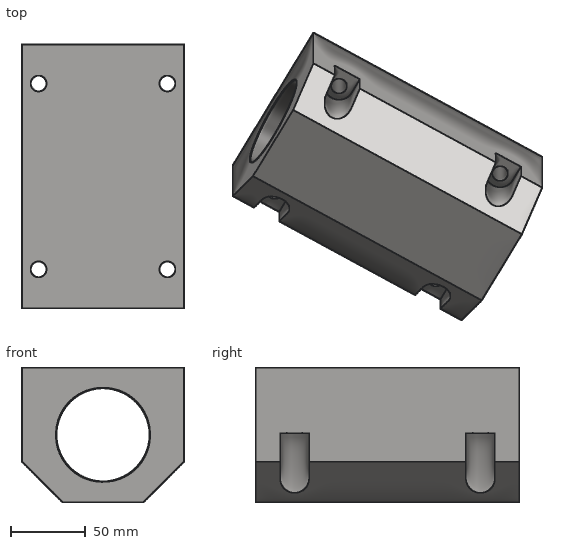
import cadquery as cq

width = 108.0
length = 176.0
height = 90.0
edge_cut = 27.1

bore_diameter = 62.0
bore_height = 45.0
bore_chamfer = 0.5

hole_diameter = 10.4
hole_spacing_x = 85.9
hole_spacing_y = 123.9
slot_width = 19.4
slot_roof = 46.1


def make_block():
    half = width / 2
    flat_half = half - edge_cut
    outline = [
        (-flat_half, 0),
        (flat_half, 0),
        (half, edge_cut),
        (half, height),
        (-half, height),
        (-half, edge_cut),
    ]
    return cq.Workplane("XZ").polyline(outline).close().extrude(length / 2, both=True)


def make_bore():
    bore_radius = bore_diameter / 2
    mouth_radius = bore_radius + bore_chamfer
    half = length / 2
    section = [
        (0, -half),
        (mouth_radius, -half),
        (bore_radius, -half + bore_chamfer),
        (bore_radius, half - bore_chamfer),
        (mouth_radius, half),
        (0, half),
    ]
    profile = cq.Workplane("XY").polyline(section).close()
    return profile.revolve(360, (0, 0, 0), (0, 1, 0)).translate((0, 0, bore_height))


def make_mounting_cut(side, y):
    """Through hole with a slot below it, round inside and open to the outside."""
    x = side * hole_spacing_x / 2
    hole = cq.Workplane("XY").center(x, y).circle(hole_diameter / 2).extrude(height)
    round_end = cq.Workplane("XY").center(x, y).circle(slot_width / 2).extrude(slot_roof)
    reach = width / 2
    opening = (
        cq.Workplane("XY")
        .center(x + side * reach / 2, y)
        .rect(reach, slot_width)
        .extrude(slot_roof)
    )
    return hole.union(round_end).union(opening)


result = make_block().cut(make_bore())
for side in (-1, 1):
    for y in (-hole_spacing_y / 2, hole_spacing_y / 2):
        result = result.cut(make_mounting_cut(side, y))